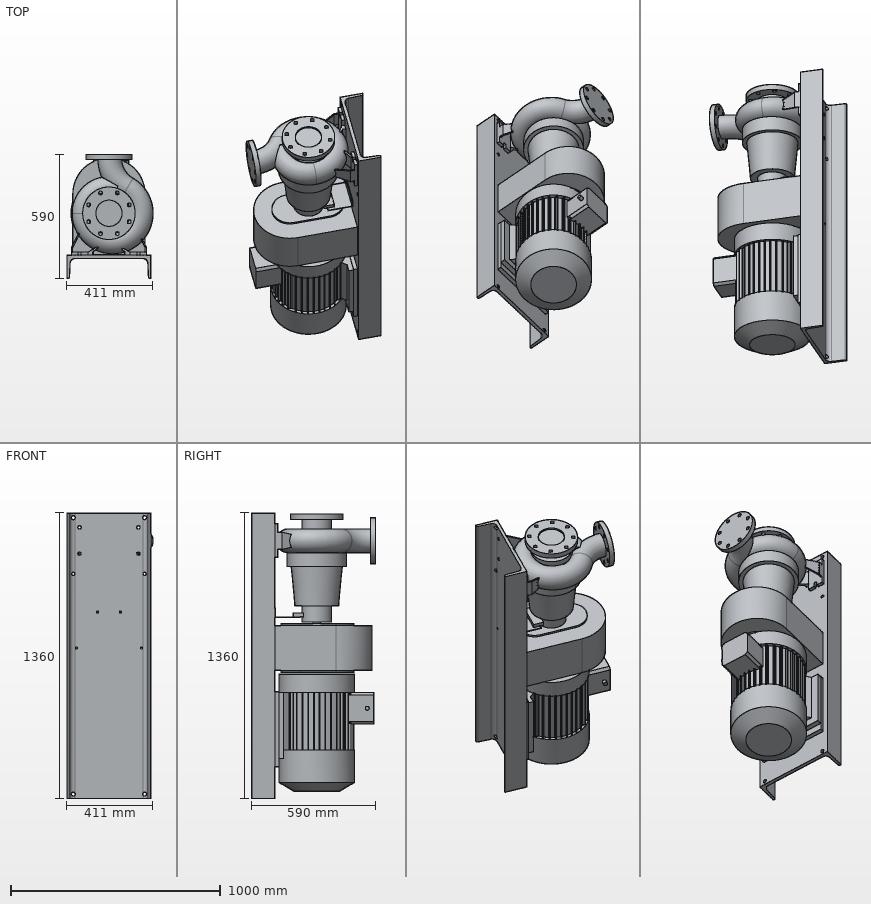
import cadquery as cq
import math


channel_length = 1360.0
channel_width = 400.0
channel_depth = 110.0
web_thickness = 16.0
flange_root_thickness = 16.0
flange_toe_thickness = 12.0
root_radius = 23.0
toe_radius = 7.0
web_y = -200.0

edge_hole_spacing = 170.0
end_hole_diameter = 18.0
end_hole_inset = 22.0
middle_hole_z, middle_hole_diameter = 1070.0, 15.0
guard_hole_spacing, guard_hole_diameter = 155.0, 10.0

volute_z = 1228.0
tube_radius = 57.0
volute_radius = 136.0
inlet_angle = 108.0
volute_shift = 18.0
discharge_angle = 60.0
discharge_bend_radius = 163.0
casing_cover_radius = 100.0
suction_face_z = 1356.0
suction_flange_radius = 125.0
suction_flange_thickness = 27.0
suction_neck_radius = 71.0
suction_bore_radius = 63.0
suction_bore_depth = 8.0
suction_bolt_circle_radius = 105.0
discharge_face_y = 280.0
discharge_flange_radius = 110.0
discharge_flange_thickness = 25.0
discharge_bolt_circle_radius = 90.0
flange_bolt_count = 8
flange_bolt_diameter = 18.0

backplate_radius = 143.0
backplate_bottom_z = 1105.0
housing_top_radius = 122.0
housing_bottom_radius = 105.0
housing_bottom_z = 918.0
hub_radius = 71.0
hub_bottom_z = 840.0
shaft_radius = 19.0

pad_outer_x = 180.0
pad_inner_x = 99.0
pad_thickness = 15.0
pad_top_z = 1310.0
pad_bottom_z = 1149.0
pad_slot_spacing = 140.0
pad_slot_width = 15.0
pad_slot_inset = 18.0
outer_wall_thickness = 7.0
inner_wall_base_x = 78.0
wall_base_half_height = 41.0
wall_tip_half_height = 23.0
wall_knee_y = -165.0
wall_tip_y = -85.0
outer_wall_tip_x = 140.0
inner_wall_tip_x = 35.0
inner_wall_tip_y = -152.0
inner_wall_tip_thickness = 7.0

guard_radius = 173.0
guard_centre_y = 91.0
guard_bottom_z = 610.0
guard_top_z = 824.0
cover_radius = 85.0
cover_lower_y = -85.0
cover_thickness = 10.0

motor_radius = 181.0
motor_top_z = 593.0
fins_top_z = 506.0
fins_bottom_z = 233.0
bell_bottom_z = 78.0
cowl_bottom_z = 35.0
cowl_bottom_radius = 109.0
core_radius = 166.0
fin_tip_radius = 177.0
fin_thickness = 4.0
fin_spacing = 27.0
vertical_fin_pairs = 5
side_fin_pairs = 4
box_half_width = 75.0
box_top_y = 272.0
box_height = 151.0
box_chamfer = 12.0
gland_radius = 10.0
gland_y = 241.0
gland_length = 20.0
foot_half_width = 175.0
foot_top_y = -158.0
foot_bottom_z = 190.0
neck_top_x, neck_top_y = 118.0, -133.0
neck_bottom_x = 137.0

plate_top_z = 510.0
plate_bottom_z = 151.0

bracket_width = 150.0
bracket_sheet = 4.0
bracket_bottom_z = 862.0
bracket_leg_height = 45.0
bracket_tip_y = -79.0
bracket_hole_spacing = 55.0
bracket_hole_z = 890.0
bracket_hole_diameter = 10.0
block_width = 122.0
block_front_y = -63.0
block_back_y = -113.0
block_height = 19.0


def box_between(x0, x1, y0, y1, z0, z1):
    return cq.Workplane("XY").box(x1 - x0, y1 - y0, z1 - z0, centered=False).translate((x0, y0, z0))


def cylinder_z(radius, z0, z1):
    return cq.Workplane("XY").workplane(offset=z0).circle(radius).extrude(z1 - z0)


def web_holes(places, diameter):
    """Drills along Y, long enough to pass the web and the parts bolted to it."""
    return (
        cq.Workplane("XZ", origin=(0, web_y + 2 * web_thickness, 0))
        .pushPoints(places)
        .circle(diameter / 2)
        .extrude(4 * web_thickness)
    )


def mirrored_places(half_spacing, heights):
    return [(side * half_spacing, z) for z in heights for side in (-1, 1)]


def edges_near(x, y):
    """Selects the two long channel edges at the places (-x, y) and (x, y)."""
    margin = 1.0
    return cq.selectors.BoxSelector((-x - margin, y - margin, 0), (x + margin, y + margin, channel_length))


def make_channel():
    half = channel_width / 2
    toe_y = web_y - channel_depth
    web_inner_y = web_y - web_thickness
    root_x = half - flange_root_thickness
    toe_x = half - flange_toe_thickness
    body = (
        cq.Workplane("XY")
        .polyline([
            (-half, web_y), (half, web_y), (half, toe_y), (toe_x, toe_y), (root_x, web_inner_y),
            (-root_x, web_inner_y), (-toe_x, toe_y), (-half, toe_y),
        ])
        .close()
        .extrude(channel_length)
    )
    body = body.edges("|Z").edges(edges_near(root_x, web_inner_y)).fillet(root_radius)
    body = body.edges("|Z").edges(edges_near(toe_x, toe_y)).fillet(toe_radius)

    end_heights = (end_hole_inset, channel_length - end_hole_inset)
    pad_heights = (pad_bottom_z + pad_slot_inset, pad_top_z - pad_slot_inset)
    guard_middle_z = (guard_bottom_z + guard_top_z) / 2
    body = body.cut(web_holes(mirrored_places(edge_hole_spacing, end_heights), end_hole_diameter))
    body = body.cut(web_holes(mirrored_places(edge_hole_spacing, [middle_hole_z]), middle_hole_diameter))
    body = body.cut(web_holes(mirrored_places(pad_slot_spacing, pad_heights), pad_slot_width))
    body = body.cut(web_holes(mirrored_places(bracket_hole_spacing, [bracket_hole_z]), bracket_hole_diameter))
    return body.cut(web_holes(mirrored_places(guard_hole_spacing, [guard_middle_z]), guard_hole_diameter))


def make_volute():
    """Round tube: a first ring about the shaft, a wider arc, and a bend to the discharge."""
    inlet_radius = volute_radius - volute_shift
    angle = math.radians(discharge_angle)
    bend_start = (volute_shift + volute_radius * math.cos(angle), volute_radius * math.sin(angle))

    inlet_ring = (
        cq.Workplane("XZ", origin=(-inlet_radius, 0, volute_z))
        .circle(tube_radius)
        .revolve(inlet_angle, (inlet_radius, 0), (inlet_radius, -1))
    )
    spiral = (
        cq.Workplane("XZ", origin=(-inlet_radius, 0, volute_z))
        .circle(tube_radius)
        .revolve(180 + discharge_angle, (volute_radius, 0), (volute_radius, 1))
    )
    bend_plane = cq.Plane(
        origin=(*bend_start, volute_z),
        xDir=(math.cos(angle), math.sin(angle), 0),
        normal=(-math.sin(angle), math.cos(angle), 0),
    )
    bend = (
        cq.Workplane(bend_plane)
        .circle(tube_radius)
        .revolve(discharge_angle, (discharge_bend_radius, 0), (discharge_bend_radius, 1))
    )
    return inlet_ring.union(spiral).union(bend)


def bolt_holes(plane, circle_radius, depth):
    return (
        plane.polarArray(circle_radius, 180 / flange_bolt_count, 360, flange_bolt_count)
        .circle(flange_bolt_diameter / 2)
        .extrude(depth)
    )


def make_suction():
    flange_bottom_z = suction_face_z - suction_flange_thickness
    neck = cylinder_z(suction_neck_radius, volute_z, flange_bottom_z)
    flange = cylinder_z(suction_flange_radius, flange_bottom_z, suction_face_z)
    bore = cylinder_z(suction_bore_radius, suction_face_z - suction_bore_depth, suction_face_z)
    base = cq.Workplane("XY", origin=(0, 0, flange_bottom_z))
    holes = bolt_holes(base, suction_bolt_circle_radius, suction_flange_thickness)
    return neck.union(flange).cut(bore).cut(holes)


def make_discharge_flange():
    face = cq.Workplane("XZ", origin=(0, discharge_face_y, volute_z))
    flange = face.circle(discharge_flange_radius).extrude(discharge_flange_thickness)
    return flange.cut(bolt_holes(face, discharge_bolt_circle_radius, discharge_flange_thickness))


def make_bearing_housing():
    return (
        cq.Workplane("XZ")
        .polyline([
            (0, volute_z + tube_radius), (casing_cover_radius, volute_z + tube_radius),
            (casing_cover_radius, volute_z), (backplate_radius, volute_z),
            (backplate_radius, backplate_bottom_z), (housing_top_radius, backplate_bottom_z),
            (housing_bottom_radius, housing_bottom_z), (hub_radius, housing_bottom_z),
            (hub_radius, hub_bottom_z), (shaft_radius, hub_bottom_z),
            (shaft_radius, guard_top_z + cover_thickness), (0, guard_top_z + cover_thickness),
        ])
        .close()
        .revolve(360, (0, 0), (0, 1))
    )


def make_pump_foot():
    """Left foot: a slotted pad and two leaning walls that narrow towards the casing."""
    pad_y = web_y + pad_thickness
    pad = box_between(-pad_outer_x, -pad_inner_x, web_y, pad_y, pad_bottom_z, pad_top_z)
    for slot_z, end_z in (
        (pad_top_z - pad_slot_inset, pad_top_z),
        (pad_bottom_z + pad_slot_inset, pad_bottom_z),
    ):
        left = -pad_slot_spacing - pad_slot_width / 2
        low, high = sorted((slot_z, end_z))
        pad = pad.cut(box_between(left, left + pad_slot_width, web_y, pad_y, low, high))
        pad = pad.cut(web_holes([(-pad_slot_spacing, slot_z)], pad_slot_width))

    walls = (
        cq.Workplane("XY", origin=(0, 0, pad_bottom_z))
        .polyline([
            (-pad_outer_x, web_y), (-pad_outer_x, wall_knee_y), (-outer_wall_tip_x, wall_tip_y),
            (-outer_wall_tip_x + outer_wall_thickness, wall_tip_y),
            (-pad_outer_x + outer_wall_thickness, wall_knee_y),
            (-pad_outer_x + outer_wall_thickness, web_y),
        ])
        .close()
        .polyline([
            (-pad_inner_x, web_y), (-pad_inner_x, pad_y),
            (-inner_wall_tip_x, inner_wall_tip_y + inner_wall_tip_thickness),
            (-inner_wall_tip_x, inner_wall_tip_y), (-inner_wall_base_x, pad_y), (-inner_wall_base_x, web_y),
        ])
        .close()
        .extrude(pad_top_z - pad_bottom_z)
    )
    taper = (
        cq.Workplane("YZ", origin=(-pad_outer_x, 0, volute_z))
        .polyline([
            (web_y, -wall_base_half_height), (wall_knee_y, -wall_base_half_height),
            (wall_tip_y, -wall_tip_half_height), (wall_tip_y, wall_tip_half_height),
            (wall_knee_y, wall_base_half_height), (web_y, wall_base_half_height),
        ])
        .close()
        .extrude(pad_outer_x)
    )
    return pad.union(walls.intersect(taper))


def make_pump():
    foot = make_pump_foot()
    return (
        make_bearing_housing()
        .union(make_volute())
        .union(make_suction())
        .union(make_discharge_flange())
        .union(foot)
        .union(foot.mirror("YZ"))
    )


def make_guard():
    body = cylinder_z(guard_radius, guard_bottom_z, guard_top_z).translate((0, guard_centre_y, 0))
    body = body.union(
        box_between(-guard_radius, guard_radius, web_y, guard_centre_y, guard_bottom_z, guard_top_z)
    )
    cover_length = guard_centre_y - cover_lower_y + 2 * cover_radius
    covers = (
        cq.Workplane("XY", origin=(0, (guard_centre_y + cover_lower_y) / 2, guard_bottom_z - cover_thickness))
        .slot2D(cover_length, 2 * cover_radius, 90)
        .extrude(guard_top_z - guard_bottom_z + 2 * cover_thickness)
    )
    return body.union(covers)


def make_motor_shell():
    return (
        cq.Workplane("XZ")
        .polyline([
            (0, motor_top_z), (motor_radius, motor_top_z), (motor_radius, fins_top_z),
            (core_radius, fins_top_z), (core_radius, fins_bottom_z), (motor_radius, fins_bottom_z),
            (motor_radius, bell_bottom_z), (cowl_bottom_radius, cowl_bottom_z), (0, cowl_bottom_z),
        ])
        .close()
        .revolve(360, (0, 0), (0, 1))
    )


def fin_sheets(pairs):
    """Parallel sheets along Y, placed in pairs on both sides of the shaft axis."""
    places = [side * (pair + 0.5) * fin_spacing for pair in range(pairs) for side in (-1, 1)]
    return (
        cq.Workplane("XY", origin=(0, 0, fins_bottom_z))
        .pushPoints([(x, 0) for x in places])
        .rect(fin_thickness, 2 * fin_tip_radius)
        .extrude(fins_top_z - fins_bottom_z)
    )


def make_fins():
    """Sheets through the core in both directions, trimmed round; only their tips stand out of it."""
    vertical_fins = fin_sheets(vertical_fin_pairs)
    side_fins = fin_sheets(side_fin_pairs).rotate((0, 0, 0), (0, 0, 1), 90)
    return vertical_fins.union(side_fins).intersect(cylinder_z(fin_tip_radius, fins_bottom_z, fins_top_z))


def make_terminal_box():
    box = box_between(-box_half_width, box_half_width, 0, box_top_y, fins_top_z - box_height, fins_top_z)
    box = box.edges("|Y").chamfer(box_chamfer)
    gland = (
        cq.Workplane("YZ", origin=(box_half_width, gland_y, fins_top_z - box_height / 2))
        .circle(gland_radius)
        .extrude(gland_length)
    )
    return box.union(gland)


def make_motor_foot():
    foot = box_between(
        -foot_half_width, foot_half_width, -motor_radius, foot_top_y, foot_bottom_z, fins_top_z
    )
    neck = (
        cq.Workplane("XY", origin=(0, 0, fins_bottom_z))
        .polyline([
            (-neck_top_x, neck_top_y), (neck_top_x, neck_top_y),
            (neck_bottom_x, foot_top_y), (-neck_bottom_x, foot_top_y),
        ])
        .close()
        .extrude(fins_top_z - fins_bottom_z)
    )
    return foot.union(neck)


def make_motor():
    return make_motor_shell().union(make_fins()).union(make_terminal_box()).union(make_motor_foot())


def make_motor_plate():
    return box_between(-foot_half_width, foot_half_width, web_y, -motor_radius, plate_bottom_z, plate_top_z)


def make_bracket():
    half = bracket_width / 2
    sheet_top_z = bracket_bottom_z + bracket_sheet
    leg = box_between(
        -half, half, web_y, web_y + bracket_sheet, bracket_bottom_z, bracket_bottom_z + bracket_leg_height
    )
    leg = leg.cut(web_holes(mirrored_places(bracket_hole_spacing, [bracket_hole_z]), bracket_hole_diameter))
    shelf = box_between(-half, half, web_y, bracket_tip_y, bracket_bottom_z, sheet_top_z)
    block = box_between(
        -block_width / 2, block_width / 2, block_back_y, block_front_y,
        sheet_top_z, sheet_top_z + block_height,
    )
    hub_seat = cylinder_z(hub_radius, hub_bottom_z, housing_bottom_z)
    return leg.union(shelf).union(block).cut(hub_seat)


channel = make_channel().solids()
pump = make_pump().solids()
guard = make_guard().solids()
motor = make_motor().solids()
motor_plate = make_motor_plate().solids()
bracket = make_bracket().solids()

result = cq.Compound.makeCompound([
    channel.val(), pump.val(), guard.val(), motor.val(), motor_plate.val(), bracket.val(),
])